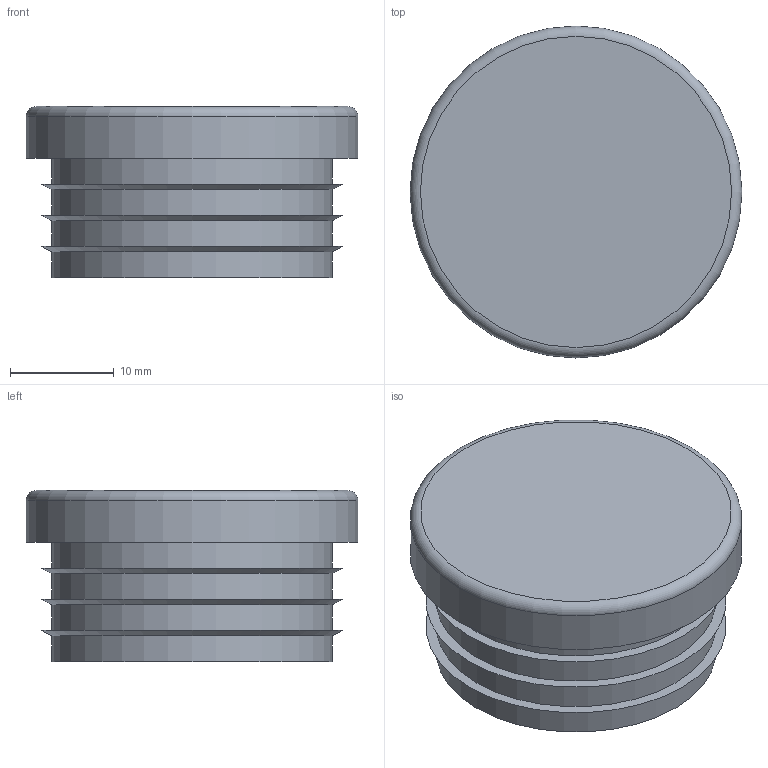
import cadquery as cq

total_height = 16.5
cap_diameter = 32.0
cap_height = 5.0
cap_edge_radius = 1.0
plug_diameter = 27.0
plug_height = total_height - cap_height

fin_diameter = 29.0
fin_height = 0.5
fin_count = 3
fin_pitch = 3.0


def make_cap():
    """Disc-shaped head with a rounded top edge."""
    cap = cq.Workplane("XY").workplane(offset=plug_height).circle(cap_diameter / 2).extrude(cap_height)
    return cap.faces(">Z").edges().fillet(cap_edge_radius)


def make_plug():
    """Cylindrical insert below the head, with its base at Z = 0."""
    return cq.Workplane("XY").circle(plug_diameter / 2).extrude(plug_height)


def make_fin(top_z):
    """Cone that widens from the plug surface up to a flat face at top_z."""
    profile = (
        cq.Workplane("XZ")
        .moveTo(0, top_z - fin_height)
        .lineTo(plug_diameter / 2, top_z - fin_height)
        .lineTo(fin_diameter / 2, top_z)
        .lineTo(0, top_z)
        .close()
    )
    return profile.revolve(360, (0, 0, 0), (0, 1, 0))


result = make_plug().union(make_cap())
for index in range(fin_count):
    result = result.union(make_fin((index + 1) * fin_pitch))